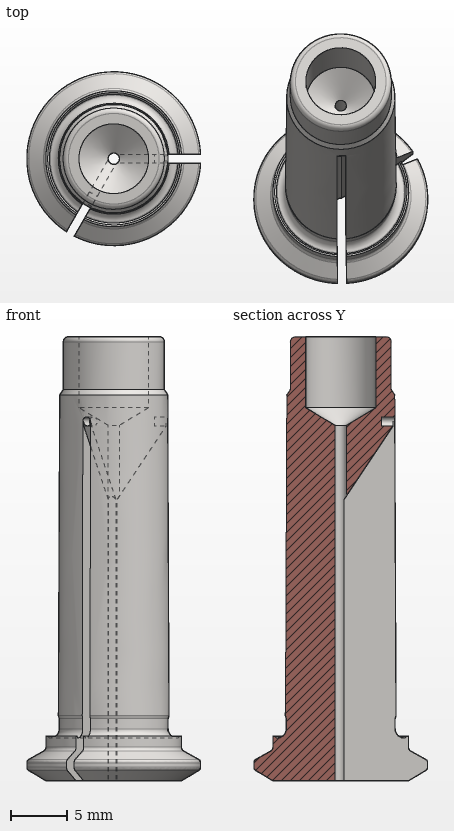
import cadquery as cq
import math

length = 39.5

flange_radius = 7.75
foot_radius = 6.05
flange_rim_bottom = 1.03
flange_rim_top = 1.8
flange_rim_fillet = 0.35
collar_radius = 6.05
collar_cone_top = 2.75
collar_top = 4.0
collar_base_fillet = 0.4

neck_radius = 4.85
neck_fillet = 0.8
neck_top = 5.53

groove_floor = 3.85
groove_floor_radius = 5.73
groove_rim_radius = 5.9

body_bottom = 5.8
body_bottom_radius = 4.95
body_top_radius = 4.8
shoulder_bottom = 34.33
shoulder_height = 0.47

end_radius = 4.5
end_fillet = 0.47

bore_diameter = 6.2
bore_radius = bore_diameter / 2
bore_floor = 33.18
drill_point_half_angle = 59.0
axial_hole_diameter = 1.0

slot_width = 0.8
slot_angles = (0, 240)
slot_end_center = 31.95
slot_ramp_top = slot_end_center - slot_width / 2
slot_ramp_radius = 4.65
slot_ramp_slope = 1.5
relief_depth = 1.2
cut_radius = flange_radius + 0.4

edge_tolerance = 0.005


def make_body():
    """Revolve the outer profile, then round its edges."""
    profile = (
        cq.Workplane("XZ")
        .lineTo(foot_radius, 0)
        .lineTo(flange_radius, flange_rim_bottom)
        .lineTo(flange_radius, flange_rim_top)
        .lineTo(collar_radius, collar_cone_top)
        .lineTo(collar_radius, collar_top)
        .lineTo(groove_rim_radius, collar_top)
        .lineTo(groove_floor_radius, groove_floor)
        .lineTo(neck_radius, groove_floor)
        .lineTo(neck_radius, neck_top)
        .lineTo(body_bottom_radius, body_bottom)
        .lineTo(body_top_radius, shoulder_bottom)
        .lineTo(end_radius, shoulder_bottom + shoulder_height)
        .lineTo(end_radius, length)
        .lineTo(0, length)
        .close()
    )
    body = profile.revolve(360, (0, 0, 0), (0, 1, 0))
    for radius, height, fillet in (
        (flange_radius, flange_rim_bottom, flange_rim_fillet),
        (flange_radius, flange_rim_top, flange_rim_fillet),
        (collar_radius, collar_cone_top, collar_base_fillet),
        (neck_radius, groove_floor, neck_fillet),
        (end_radius, length, end_fillet),
    ):
        body = body.edges().filter(lambda edge: is_circle_at(edge, radius, height)).fillet(fillet)
    return body


def is_circle_at(edge, radius, height):
    """True for the circular edge of the given radius at the given height."""
    if edge.geomType() != "CIRCLE":
        return False
    radius_error = abs(edge.radius() - radius)
    height_error = abs(edge.Center().z - height)
    return max(radius_error, height_error) < edge_tolerance


def make_bore():
    """Blind bore from the top, ending in a drill point."""
    point_depth = bore_radius / math.tan(math.radians(drill_point_half_angle))
    return (
        cq.Workplane("XZ")
        .moveTo(0, bore_floor - point_depth)
        .lineTo(bore_radius, bore_floor)
        .lineTo(bore_radius, length)
        .lineTo(0, length)
        .close()
        .revolve(360, (0, 0, 0), (0, 1, 0))
    )


def make_slot():
    """Slot along +X with a floor that rises outward to a small round relief hole."""
    ramp_inner_height = slot_ramp_top - slot_ramp_slope * slot_ramp_radius
    slit = (
        cq.Workplane("XZ")
        .lineTo(cut_radius, 0)
        .lineTo(cut_radius, slot_end_center)
        .lineTo(slot_ramp_radius, slot_end_center)
        .lineTo(slot_ramp_radius, slot_ramp_top)
        .lineTo(0, ramp_inner_height)
        .close()
        .extrude(slot_width / 2, both=True)
    )
    relief = (
        cq.Workplane("YZ", origin=(body_top_radius - relief_depth, 0, slot_end_center))
        .circle(slot_width / 2)
        .extrude(cut_radius - body_top_radius + relief_depth)
    )
    return slit.union(relief)


result = make_body().cut(make_bore())
axial_hole = cq.Workplane("XY").circle(axial_hole_diameter / 2).extrude(length)
result = result.cut(axial_hole)

slot = make_slot()
for angle in slot_angles:
    result = result.cut(slot.rotate((0, 0, 0), (0, 0, 1), angle))